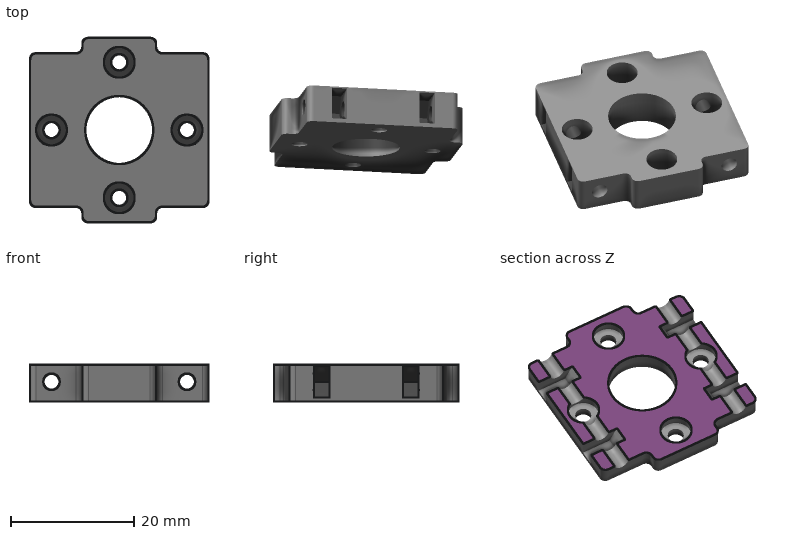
import cadquery as cq
import math

plate_width = 29.0
plate_length = 25.0
tab_width = 12.0
overall_length = 30.0
thickness = 6.0
corner_radius = 1.0

center_bore_diameter = 11.0
hole_offset = 11.0
screw_diameter = 2.6
counterbore_diameter = 5.0
counterbore_depth = 4.5

cross_hole_height = 3.2
nut_across_flats = 5.13
nut_pocket_width = 2.52
nut_pocket_offset = 7.25
nut_corner_radius = nut_across_flats / math.sqrt(3)


def make_plate():
    plate = cq.Workplane("XY").rect(plate_width, plate_length).extrude(thickness)
    tabs = cq.Workplane("XY").rect(tab_width, overall_length).extrude(thickness)
    return plate.union(tabs).edges("|Z").fillet(corner_radius)


def cut_vertical_holes(body):
    body = body.faces(">Z").workplane(origin=(0, 0, thickness)).hole(center_bore_diameter)
    return (
        body.faces(">Z")
        .workplane(origin=(0, 0, thickness))
        .polarArray(hole_offset, 0, 360, 4)
        .cboreHole(screw_diameter, counterbore_diameter, counterbore_depth)
    )


def make_cross_hole(side):
    return (
        cq.Workplane("XZ")
        .center(side * hole_offset, cross_hole_height)
        .circle(screw_diameter / 2)
        .extrude(overall_length / 2, both=True)
    )


def make_nut_pocket(side, y):
    """Slot open at the X side, ending in the V of a hexagonal nut."""
    half_flats = nut_across_flats / 2
    outer_x = side * plate_width / 2
    flat_end_x = side * (hole_offset - nut_corner_radius / 2)
    tip_x = side * (hole_offset - nut_corner_radius)
    return (
        cq.Workplane("XZ", origin=(0, y, cross_hole_height))
        .moveTo(outer_x, half_flats)
        .lineTo(flat_end_x, half_flats)
        .lineTo(tip_x, 0)
        .lineTo(flat_end_x, -half_flats)
        .lineTo(outer_x, -half_flats)
        .close()
        .extrude(nut_pocket_width / 2, both=True)
    )


result = cut_vertical_holes(make_plate())
for side in (-1, 1):
    result = result.cut(make_cross_hole(side))
    for y in (-nut_pocket_offset, nut_pocket_offset):
        result = result.cut(make_nut_pocket(side, y))